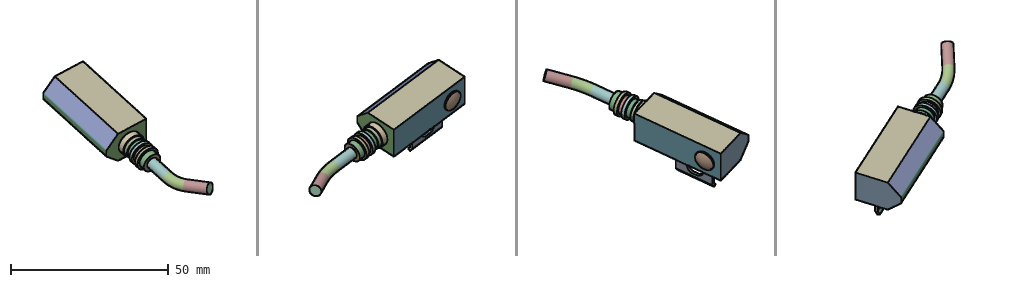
import cadquery as cq
import math

BODY_LENGTH = 33.0
BODY_HEIGHT = 12.0
BODY_DEPTH = 16.0
NOSE_CHAMFER = 4.7
NOSE_FILLET = 0.9

BUTTON_X = 6.0
BUTTON_Z = 5.85
BUTTON_RADIUS = 3.5
BUTTON_RIM = 0.55
BUTTON_HEIGHT = 1.5

BRACKET_X = 5.9
BRACKET_WIDTH = 14.1
BRACKET_BACK = 4.15
SHEET = 1.0
BRACKET_DROP = 10.1
LIP_ANGLE = math.radians(32)
LIP_LENGTH = 1.5
SLOT_X = 12.7
SLOT_Z = -5.05
SLOT_LENGTH = 6.0
SLOT_HEIGHT = 4.6

AXIS_Y = -6.9
AXIS_Z = 5.8
SLEEVE_STEPS = [
    (2.3, 4.15),
    (1.45, 3.7),
    (1.85, 3.3),
    (1.25, 4.15),
    (1.65, 3.3),
    (1.25, 4.15),
    (2.3, 3.3),
]
CABLE_RADIUS = 2.0
CABLE_STRAIGHT = 8.1
BEND_RADIUS = 15.0
BEND_ANGLE = math.radians(30)
BEND_TILT = 30
OVERALL_LENGTH = 69.0


def make_body():
    """Housing with its back face on Y = 0 and its underside on Z = 0."""
    body = cq.Workplane("XY").box(BODY_LENGTH, BODY_DEPTH, BODY_HEIGHT, centered=False)
    body = body.translate((0, -BODY_DEPTH, 0))
    body = body.faces("<Y").edges("|X").chamfer(NOSE_CHAMFER)
    return body.faces("<Y").edges("|X").fillet(NOSE_FILLET)


def make_button():
    """Half profile revolved about the button axis, which runs along +Y."""
    cap_rise = BUTTON_HEIGHT - BUTTON_RIM
    cap_radius = (BUTTON_RADIUS**2 + cap_rise**2) / (2 * cap_rise)
    mid_radius = BUTTON_RADIUS / 2
    mid_height = BUTTON_HEIGHT - cap_radius + math.sqrt(cap_radius**2 - mid_radius**2)
    profile = (
        cq.Workplane("XY")
        .lineTo(BUTTON_RADIUS, 0)
        .lineTo(BUTTON_RADIUS, BUTTON_RIM)
        .threePointArc((mid_radius, mid_height), (0, BUTTON_HEIGHT))
        .close()
    )
    return profile.revolve(360, (0, 0), (0, 1)).translate((BUTTON_X, 0, BUTTON_Z))


def make_bracket():
    """Hanging sheet with a lip bent towards -Y and an obround slot."""
    along_y = -math.sin(LIP_ANGLE)
    along_z = -math.cos(LIP_ANGLE)
    back_y = -BRACKET_BACK
    front_y = back_y - SHEET
    tip_z = -BRACKET_DROP + SHEET * math.sin(LIP_ANGLE)
    inner_bend_z = tip_z - LIP_LENGTH * along_z
    outer_bend_z = inner_bend_z - SHEET * math.tan(LIP_ANGLE / 2)
    tip_y = front_y + LIP_LENGTH * along_y
    sheet = (
        cq.Workplane("YZ", origin=(BRACKET_X, 0, 0))
        .moveTo(back_y, 0)
        .lineTo(front_y, 0)
        .lineTo(front_y, inner_bend_z)
        .lineTo(tip_y, tip_z)
        .lineTo(tip_y - SHEET * along_z, -BRACKET_DROP)
        .lineTo(back_y, outer_bend_z)
        .close()
        .extrude(BRACKET_WIDTH)
    )
    slot = (
        cq.Workplane("XZ", origin=(SLOT_X, back_y, SLOT_Z))
        .slot2D(SLOT_LENGTH, SLOT_HEIGHT)
        .extrude(SHEET)
    )
    return sheet.cut(slot)


def make_sleeve():
    """Stepped strain relief ending in its outer face at +X."""
    axis_origin = (BODY_LENGTH, AXIS_Y, AXIS_Z)
    sleeve = cq.Workplane("YZ", origin=axis_origin)
    start = 0
    for length, radius in SLEEVE_STEPS:
        step = cq.Workplane("YZ", origin=axis_origin).workplane(offset=start).circle(radius).extrude(length)
        sleeve = sleeve.add(step)
        start += length
    return sleeve.combine()


def make_cable():
    """Round cable: straight, bent by an arc, then straight to the overall length."""
    start_x = BODY_LENGTH + sum(length for length, _ in SLEEVE_STEPS)
    bend_x = BEND_RADIUS * math.sin(BEND_ANGLE)
    bend_y = BEND_RADIUS * (1 - math.cos(BEND_ANGLE))
    mid_x = BEND_RADIUS * math.sin(BEND_ANGLE / 2)
    mid_y = BEND_RADIUS * (1 - math.cos(BEND_ANGLE / 2))
    end_center_x = OVERALL_LENGTH - CABLE_RADIUS * math.sin(BEND_ANGLE)
    tail_x = end_center_x - start_x - CABLE_STRAIGHT - bend_x
    path = (
        cq.Workplane("XY")
        .lineTo(CABLE_STRAIGHT, 0)
        .threePointArc((CABLE_STRAIGHT + mid_x, mid_y), (CABLE_STRAIGHT + bend_x, bend_y))
        .line(tail_x, tail_x * math.tan(BEND_ANGLE))
    )
    cable = cq.Workplane("YZ").circle(CABLE_RADIUS).sweep(path)
    cable = cable.rotate((0, 0, 0), (1, 0, 0), BEND_TILT)
    return cable.translate((start_x, AXIS_Y, AXIS_Z))


result = make_body().union(make_button()).union(make_bracket()).union(make_sleeve()).union(make_cable())